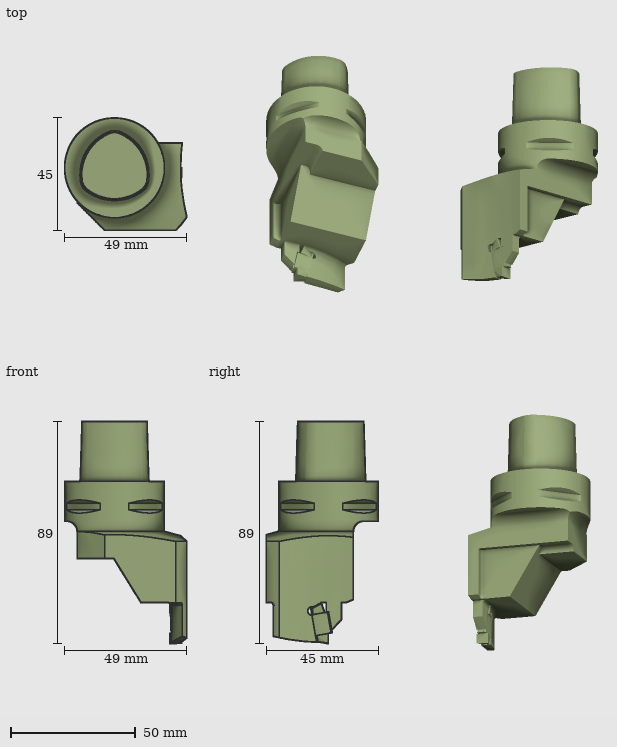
import cadquery as cq
import math


SHANK_HEIGHT = 24.01
LOBE_REACH = 14.9
FLAT_REACH = 13.1
LOBE_RADIUS = 6.0
SHANK_TAPER = math.degrees(math.atan(1 / 33))

FLANGE_RADIUS = 20.0
FLANGE_UNDERSIDE = -16.0
GROOVE_Z = -10.05
GROOVE_FLOOR_DISTANCE = 17.6
GROOVE_FLOOR_HALF_WIDTH = 1.25
GROOVE_FLANK_ANGLE = 30.0
GROOVE_OVERSHOOT = 1.0
GROOVE_ANGLES = (45, 135, 225, 315)

SHOULDER_Z = -20.0
UNDERCUT_RADIUS = FLANGE_UNDERSIDE - SHOULDER_Z
SHOULDER_SLOPE = math.tan(math.radians(15))
LEFT_X = -15.0
BACK_Y = 10.0
FRONT_Y = -25.0
CORNER_CUT = 11.1
SWEEP_RADIUS = 35.0
RIGHT_X = 28.98
OUTER_FACE_X = 26.5
LEDGE_Z = -30.9
BLOCK_BOTTOM = -48.5
SLOPE_TOP_X = -0.3
SLOPE_BOTTOM_X = 10.55

RELIEF_Z = -28.3
RELIEF_Y = 2.7
RELIEF_RADIUS = RELIEF_Z - LEDGE_Z
BACK_STEP_Y = 7.1
BACK_STEP_X = 22.8
BACK_STEP_FILLET = 1.1
BACK_EDGE_RISE = 1.2

BLADE_INNER_X = 22.4
BLADE_INNER_RADIUS = 54.5
BLADE_ROOT_FILLET = 1.1
BLADE_BACK_Y = 5.3
FINGER_CORNER_Z = -55.2
FINGER_TIP = (1.2, -59.6)
BLADE_HEEL = (-4.8, -64.4)
BLADE_SOLE_MIDDLE = (-12.6, -63.75)
BLADE_SOLE_END = (-22.5, -61.9)

TIP_Z = -65.0
INSERT_TILT = 10.0
INSERT_LENGTH = 16.7
INSERT_TOP = 1.8
INSERT_SEAT = -4.55
INSERT_LEFT_X = 22.05
INSERT_RIGHT_X = 26.97
BODY_INSET = 0.65
RIDGE_TOP = 2.25
RIDGE_WIDTH = 2.0
HEAD_LENGTH = 4.1
HEAD_FLOOR = -4.0
HEEL_INSET = 1.1
RAKE_ROOT = 0.7
SEAT_SETBACK = 1.62
HEAD_SETBACK = SEAT_SETBACK * HEAD_FLOOR / INSERT_SEAT
EDGE_LEAD = 0.25

SLIT_Y = -0.9
STRESS_HOLE = (-6.6, -51.85)
STRESS_HOLE_RADIUS = 1.65

CLEAR = 60.0


def tilted(along, up):
    """Insert coordinates to (Y, Z)."""
    tilt = math.radians(INSERT_TILT)
    y = up * math.cos(tilt) - along * math.sin(tilt)
    z = TIP_Z + up * math.sin(tilt) + along * math.cos(tilt)
    return (y, z)


def polar(radius, degrees):
    angle = math.radians(degrees)
    return (radius * math.cos(angle), radius * math.sin(angle))


def yz_prism(points, x_start, x_end):
    """Polygon in (Y, Z), extruded along X."""
    return cq.Workplane("YZ", origin=(x_start, 0, 0)).polyline(points).close().extrude(x_end - x_start)


def xz_prism(points, y_start, y_end):
    """Polygon in (X, Z), extruded along Y."""
    return cq.Workplane("XZ", origin=(0, y_end, 0)).polyline(points).close().extrude(y_end - y_start)


def make_shank():
    lobe_centre = LOBE_REACH - LOBE_RADIUS
    side_offset = (((FLAT_REACH - LOBE_RADIUS) ** 2 - lobe_centre ** 2)
                   / (lobe_centre - 2 * (FLAT_REACH - LOBE_RADIUS)))
    side_radius = FLAT_REACH + side_offset
    lobe_x, lobe_y = polar(lobe_centre, -30)
    stretch = side_radius / (side_radius - LOBE_RADIUS)
    join_x = lobe_x * stretch
    join_y = side_offset + (lobe_y - side_offset) * stretch
    join_reach = math.hypot(join_x, join_y)
    join_angle = math.degrees(math.atan2(join_y, join_x)) + 90

    outline = cq.Workplane("XY").moveTo(*polar(join_reach, -90 - join_angle))
    for side in (-90, 30, 150):
        outline = outline.threePointArc(polar(FLAT_REACH, side), polar(join_reach, side + join_angle))
        outline = outline.threePointArc(polar(LOBE_REACH, side + 60),
                                        polar(join_reach, side + 120 - join_angle))
    return outline.close().extrude(SHANK_HEIGHT, taper=SHANK_TAPER)


def make_groove(angle):
    """Flat-bottomed gripper groove with sloping flanks, tangential at the given angle."""
    depth = FLANGE_RADIUS - GROOVE_FLOOR_DISTANCE + GROOVE_OVERSHOOT
    mouth = GROOVE_FLOOR_HALF_WIDTH + depth * math.tan(math.radians(GROOVE_FLANK_ANGLE))
    outer = GROOVE_FLOOR_DISTANCE + depth
    profile = [
        (GROOVE_FLOOR_DISTANCE, GROOVE_Z - GROOVE_FLOOR_HALF_WIDTH),
        (outer, GROOVE_Z - mouth),
        (outer, GROOVE_Z + mouth),
        (GROOVE_FLOOR_DISTANCE, GROOVE_Z + GROOVE_FLOOR_HALF_WIDTH),
    ]
    groove = xz_prism(profile, -FLANGE_RADIUS, FLANGE_RADIUS)
    return groove.rotate((0, 0, 0), (0, 0, 1), angle)


def arc_x(vertex_x, radius, y):
    """X of an arc that bows away from the tool axis, with its vertex on Y = 0."""
    return vertex_x + radius - math.sqrt(radius ** 2 - y ** 2)


RIGHT_Y = -math.sqrt(SWEEP_RADIUS ** 2 - RIGHT_X ** 2)
OUTER_SAG = RIGHT_X - OUTER_FACE_X
OUTER_FACE_RADIUS = (RIGHT_Y ** 2 + OUTER_SAG ** 2) / (2 * OUTER_SAG)


def make_footprint(height):
    """Plan outline of block and blade, extruded down from the flange."""
    sweep_start_x = math.sqrt(SWEEP_RADIUS ** 2 - FRONT_Y ** 2)
    start_angle = math.degrees(math.atan2(FRONT_Y, sweep_start_x))
    end_angle = math.degrees(math.atan2(RIGHT_Y, RIGHT_X))
    back_x = arc_x(OUTER_FACE_X, OUTER_FACE_RADIUS, BACK_Y)
    outline = (
        cq.Workplane("XY", origin=(0, 0, SHOULDER_Z))
        .moveTo(LEFT_X, BACK_Y)
        .lineTo(LEFT_X, FRONT_Y + CORNER_CUT)
        .lineTo(LEFT_X + CORNER_CUT, FRONT_Y)
        .lineTo(sweep_start_x, FRONT_Y)
        .threePointArc(polar(SWEEP_RADIUS, (start_angle + end_angle) / 2), (RIGHT_X, RIGHT_Y))
        .threePointArc((OUTER_FACE_X, 0), (back_x, BACK_Y))
        .close()
    )
    return outline.extrude(-height)


def make_shoulder_cut():
    """Space above the conical shoulder that falls away from the flange."""
    edge_z = SHOULDER_Z - (CLEAR - FLANGE_RADIUS) * SHOULDER_SLOPE
    profile = [
        (FLANGE_RADIUS, SHOULDER_Z),
        (CLEAR, SHOULDER_Z),
        (CLEAR, edge_z),
    ]
    return cq.Workplane("XZ").polyline(profile).close().revolve(360, (0, 0, 0), (0, 1, 0))


def undercut_profile(plane, wall, outward):
    """Space beside a block wall, below the flange, rounded where it meets the flange."""
    arc_middle = UNDERCUT_RADIUS * (1 - math.sqrt(0.5))
    return (
        cq.Workplane(plane)
        .moveTo(wall, SHOULDER_Z)
        .threePointArc((wall + outward * arc_middle, FLANGE_UNDERSIDE - arc_middle),
                       (wall + outward * UNDERCUT_RADIUS, FLANGE_UNDERSIDE))
        .lineTo(wall + outward * CLEAR, FLANGE_UNDERSIDE)
        .lineTo(wall + outward * CLEAR, SHOULDER_Z)
        .close()
    )


def make_flange():
    flange = cq.Workplane("XY").circle(FLANGE_RADIUS).extrude(SHOULDER_Z)
    flange = flange.cut(undercut_profile("XZ", LEFT_X, -1).extrude(CLEAR, both=True))
    flange = flange.cut(undercut_profile("YZ", BACK_Y, 1).extrude(CLEAR, both=True))
    for angle in GROOVE_ANGLES:
        flange = flange.cut(make_groove(angle))
    return flange


def slope_x(z):
    """X of the sloped underside at height z."""
    run = (SLOPE_BOTTOM_X - SLOPE_TOP_X) / (LEDGE_Z - BLOCK_BOTTOM)
    return SLOPE_TOP_X + (LEDGE_Z - z) * run


def left_of_slope(top, y_start, y_end):
    """Space left of the sloped face, from a given ceiling down."""
    profile = [
        (-CLEAR, top),
        (slope_x(top), top),
        (slope_x(BLOCK_BOTTOM), BLOCK_BOTTOM),
        (slope_x(BLOCK_BOTTOM), 2 * TIP_Z),
        (-CLEAR, 2 * TIP_Z),
    ]
    return xz_prism(profile, y_start, y_end)


def make_back_relief():
    """Raised underside at the back, rounded down to the ledge."""
    round_y = RELIEF_Y + RELIEF_RADIUS
    arc_drop = RELIEF_RADIUS * (1 - math.sqrt(0.5))
    hollow = (
        cq.Workplane("YZ", origin=(-CLEAR, 0, 0))
        .moveTo(RELIEF_Y, LEDGE_Z)
        .threePointArc((RELIEF_Y + arc_drop, RELIEF_Z - arc_drop), (round_y, RELIEF_Z))
        .lineTo(CLEAR, RELIEF_Z)
        .lineTo(CLEAR, LEDGE_Z)
        .close()
        .extrude(2 * CLEAR)
    )
    return hollow.intersect(left_of_slope(RELIEF_Z, -CLEAR, CLEAR))


def make_back_step():
    """Step that leaves only a narrow wall at the back right of the block."""
    step = cq.Workplane("XY").box(BACK_STEP_X + CLEAR, CLEAR, CLEAR, centered=False)
    step = step.translate((-CLEAR, BACK_STEP_Y, RELIEF_Z - CLEAR))
    return step.edges("|Z and >X and <Y").fillet(BACK_STEP_FILLET)


def make_back_edge_relief():
    profile = [
        (BACK_STEP_Y, BLOCK_BOTTOM),
        (BACK_Y, BLOCK_BOTTOM + BACK_EDGE_RISE),
        (BACK_Y, BLOCK_BOTTOM),
    ]
    return yz_prism(profile, 0, CLEAR)


def make_blade_side_cut():
    """Space inside the curved blade face, rounded at the blade root."""
    side = (
        cq.Workplane("XY", origin=(BLADE_INNER_X + BLADE_INNER_RADIUS, 0, BLOCK_BOTTOM))
        .rect(4 * CLEAR, 4 * CLEAR)
        .circle(BLADE_INNER_RADIUS)
        .extrude(2 * TIP_Z)
    )
    return side.edges("%CIRCLE and >Z").fillet(BLADE_ROOT_FILLET)


def make_blade_end_cut():
    """Space behind and under the blade."""
    return (
        cq.Workplane("YZ")
        .moveTo(CLEAR, BLOCK_BOTTOM)
        .lineTo(BLADE_BACK_Y, BLOCK_BOTTOM)
        .lineTo(BLADE_BACK_Y, FINGER_CORNER_Z)
        .lineTo(*FINGER_TIP)
        .lineTo(*BLADE_HEEL)
        .threePointArc(BLADE_SOLE_MIDDLE, BLADE_SOLE_END)
        .lineTo(-CLEAR, BLADE_SOLE_END[1])
        .lineTo(-CLEAR, 2 * TIP_Z)
        .lineTo(CLEAR, 2 * TIP_Z)
        .close()
        .extrude(CLEAR)
    )


def make_insert_slot():
    """Seat of the insert, the slit above its rear end and the stress relief hole."""
    finger_root = INSERT_LENGTH - HEAD_LENGTH
    profile = [
        tilted(-CLEAR, INSERT_SEAT),
        tilted(INSERT_LENGTH - SEAT_SETBACK, INSERT_SEAT),
        tilted(INSERT_LENGTH, 0),
        (SLIT_Y, BLOCK_BOTTOM),
        (SLIT_Y, tilted(finger_root, RIDGE_TOP)[1]),
        tilted(finger_root, RIDGE_TOP),
        tilted(-CLEAR, RIDGE_TOP),
    ]
    hole = cq.Workplane("YZ").center(*STRESS_HOLE).circle(STRESS_HOLE_RADIUS).extrude(CLEAR)
    return yz_prism(profile, 0, CLEAR).union(hole)


def make_holder():
    body = make_footprint(SHOULDER_Z - TIP_Z).cut(make_shoulder_cut())
    body = body.cut(left_of_slope(LEDGE_Z, -CLEAR, CLEAR))
    body = body.cut(make_back_relief())
    body = body.cut(make_back_step())
    body = body.cut(make_back_edge_relief())
    body = body.cut(make_blade_side_cut())
    body = body.cut(make_blade_end_cut())
    body = body.cut(make_insert_slot())
    return body.union(make_flange()).union(make_shank())


def make_insert_head():
    """Cutting end at the origin; its folded flanks close in away from the cutting edge."""
    def corners(up, along, inset):
        left = cq.Vector(INSERT_LEFT_X + inset, up, along)
        right = cq.Vector(INSERT_RIGHT_X - inset, up, along)
        return left, right

    tip = corners(0, 0, 0)
    rake_end = corners(RAKE_ROOT, HEAD_LENGTH, 0)
    back = corners(HEAD_FLOOR, HEAD_LENGTH, BODY_INSET)
    heel = corners(HEAD_FLOOR, HEAD_SETBACK, HEEL_INSET)
    ring = [tip, rake_end, back, heel]

    outlines = []
    for near, far in zip(ring, ring[1:] + ring[:1]):
        outlines.append([near[0], near[1], far[1], far[0]])
    for side in (0, 1):
        outlines.append([tip[side], rake_end[side], back[side]])
        outlines.append([tip[side], back[side], heel[side]])
    faces = [cq.Face.makeFromWires(cq.Wire.makePolygon(points, close=True)) for points in outlines]
    head = cq.Workplane(cq.Solid.makeSolid(cq.Shell.makeShell(faces)))

    lead = [(INSERT_LEFT_X, 0), (INSERT_RIGHT_X, 0), (INSERT_RIGHT_X, EDGE_LEAD)]
    clearance = math.degrees(math.atan2(HEAD_SETBACK, -HEAD_FLOOR))
    lead_cut = xz_prism(lead, -CLEAR, CLEAR).rotate((0, 0, 0), (1, 0, 0), -clearance)
    return head.cut(lead_cut)


def make_insert_body():
    lower_end = [(INSERT_SEAT, SEAT_SETBACK), (HEAD_FLOOR, HEAD_SETBACK),
                 (HEAD_FLOOR, HEAD_LENGTH), (INSERT_TOP, HEAD_LENGTH)]
    upper_end = [(up, INSERT_LENGTH - along) for up, along in reversed(lower_end)]
    body = yz_prism(lower_end + upper_end, INSERT_LEFT_X + BODY_INSET, INSERT_RIGHT_X - BODY_INSET)

    middle_x = (INSERT_LEFT_X + INSERT_RIGHT_X) / 2
    ridge_end = INSERT_LENGTH - HEAD_LENGTH
    ridge = [(0, HEAD_LENGTH), (RIDGE_TOP, HEAD_LENGTH), (RIDGE_TOP, ridge_end), (0, ridge_end)]
    return body.union(yz_prism(ridge, middle_x - RIDGE_WIDTH / 2, middle_x + RIDGE_WIDTH / 2))


def make_insert():
    """Double-ended insert, tilted into its seat."""
    head = make_insert_head()
    other_head = head.mirror("XY", (0, 0, INSERT_LENGTH / 2))
    insert = make_insert_body().union(head).union(other_head)
    return insert.rotate((0, 0, 0), (1, 0, 0), INSERT_TILT).translate((0, 0, TIP_Z))


holder = make_holder()
insert = make_insert()
result = cq.Compound.makeCompound([holder.val(), insert.val()])